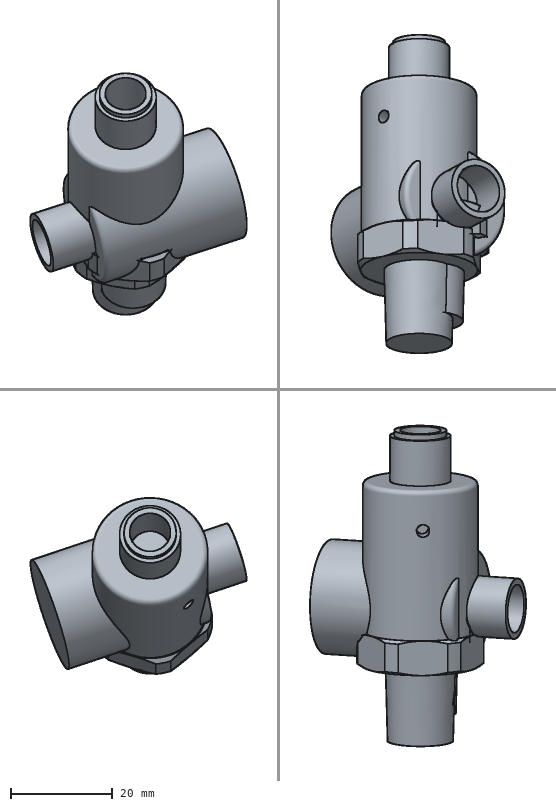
import cadquery as cq
import math

spigot_bottom_dia = 13.0
spigot_top_dia = 13.8
spigot_length = 15.1
hex_height = 6.9
hex_across_flats = 23.0
hex_corner_dia = 25.0
hex_chamfer_angle = math.radians(30)
nipple_length = spigot_length + hex_height

barrel_dia = 22.7
barrel_length = 30.0
barrel_fillet = 1.0
tube_dia = 12.0
tube_bore_dia = 9.5
tube_length = 9.0
housing_length = barrel_length + tube_length

vent_dia = 2.5
vent_depth = 3.9
vent_below_barrel_end = 8.0

upright_turn = 22.5
upright_base = (0, 0, nipple_length)

insert_bore_dia = 8.0
insert_flange_dia = 10.3
insert_flange_height = 1.1

cross_x = 2.7
cross_nipple_y = 0.4
cross_nipple_z = 5.1
cross_hex_turn = 30.0
cross_back_y = 20.0
cross_axis_z = cross_nipple_z + nipple_length
cross_base = (cross_x, cross_back_y, cross_axis_z)


def make_nipple(x, y, z, turn):
    """Nipple standing on (x, y, z), its hexagon turned about the vertical by `turn` degrees."""
    corner_radius = hex_corner_dia / 2
    chamfer_radius = hex_across_flats / 2
    chamfer_height = (corner_radius - chamfer_radius) * math.tan(hex_chamfer_angle)
    turned_blank = (
        cq.Workplane("XZ")
        .moveTo(0, spigot_length)
        .lineTo(chamfer_radius, spigot_length)
        .lineTo(corner_radius, spigot_length + chamfer_height)
        .lineTo(corner_radius, nipple_length - chamfer_height)
        .lineTo(chamfer_radius, nipple_length)
        .lineTo(0, nipple_length)
        .close()
        .revolve(360, (0, 0, 0), (0, 1, 0))
    )
    hexagon = (
        cq.Workplane("XY", origin=(0, 0, spigot_length))
        .polygon(6, hex_across_flats, circumscribed=True)
        .extrude(hex_height)
        .intersect(turned_blank)
    )
    spigot = (
        cq.Workplane("XZ")
        .lineTo(spigot_bottom_dia / 2, 0)
        .lineTo(spigot_top_dia / 2, spigot_length)
        .lineTo(0, spigot_length)
        .close()
        .revolve(360, (0, 0, 0), (0, 1, 0))
    )
    return hexagon.union(spigot).rotate((0, 0, 0), (0, 0, 1), turn).translate((x, y, z))


def make_housing(base, axis):
    """Barrel and tube, without the bore, from the point `base` along `axis`."""
    plane = cq.Plane(origin=base, xDir=(1, 0, 0), normal=axis)
    barrel = cq.Workplane(plane).circle(barrel_dia / 2).extrude(barrel_length)
    end_face = cq.selectors.DirectionMinMaxSelector(cq.Vector(*axis))
    barrel = barrel.faces(end_face).edges().fillet(barrel_fillet)
    tube = cq.Workplane(plane).workplane(offset=barrel_length).circle(tube_dia / 2).extrude(tube_length)
    return barrel.union(tube)


def make_tube_bore(base, axis):
    """Space inside the tube of the housing built from the same `base` and `axis`."""
    plane = cq.Plane(origin=base, xDir=(1, 0, 0), normal=axis)
    tube_start = cq.Workplane(plane).workplane(offset=barrel_length)
    return tube_start.circle(tube_bore_dia / 2).extrude(tube_length)


def make_vent():
    """Cutter for the radial hole on the -X side of the upright housing."""
    angle = math.radians(upright_turn)
    inward = (math.cos(angle), math.sin(angle), 0)
    barrel_radius = barrel_dia / 2
    height = nipple_length + barrel_length - vent_below_barrel_end
    entry = (-barrel_radius * inward[0], -barrel_radius * inward[1], height)
    plane = cq.Plane(origin=entry, xDir=(0, 0, 1), normal=inward)
    outside = cq.Workplane(plane).workplane(offset=-vent_dia)
    return outside.circle(vent_dia / 2).extrude(vent_dia + vent_depth)


def make_insert(sleeve):
    """Bored sleeve with a flange that rests on the rim of the upright tube."""
    rim = cq.Workplane("XY", origin=(0, 0, nipple_length + housing_length))
    flange = rim.circle(insert_flange_dia / 2).extrude(insert_flange_height)
    bore = rim.workplane(offset=insert_flange_height).circle(insert_bore_dia / 2)
    return sleeve.union(flange).cut(bore.extrude(-tube_length - insert_flange_height))


cross_nipple = make_nipple(cross_x, cross_nipple_y, cross_nipple_z, cross_hex_turn)
upright_nipple = make_nipple(0, 0, 0, upright_turn).cut(cross_nipple)

upright_axis = (0, 0, 1)
cross_axis = (0, -1, 0)
upright_blank = make_housing(upright_base, upright_axis)
upright_bore = make_tube_bore(upright_base, upright_axis)
cross_bore = make_tube_bore(cross_base, cross_axis)
cross_bore_floor = cross_bore.intersect(upright_blank)
cross_housing = (
    make_housing(cross_base, cross_axis)
    .cut(cross_bore)
    .union(cross_bore_floor)
    .cut(cross_nipple)
    .cut(upright_nipple)
)
upright_housing = (
    upright_blank
    .cut(upright_bore)
    .cut(make_vent())
    .cut(cross_housing)
    .cut(cross_nipple)
)

insert = make_insert(upright_bore)

result = cq.Compound.makeCompound([
    upright_nipple.val(),
    upright_housing.val(),
    insert.val(),
    cross_nipple.val(),
    cross_housing.val(),
])